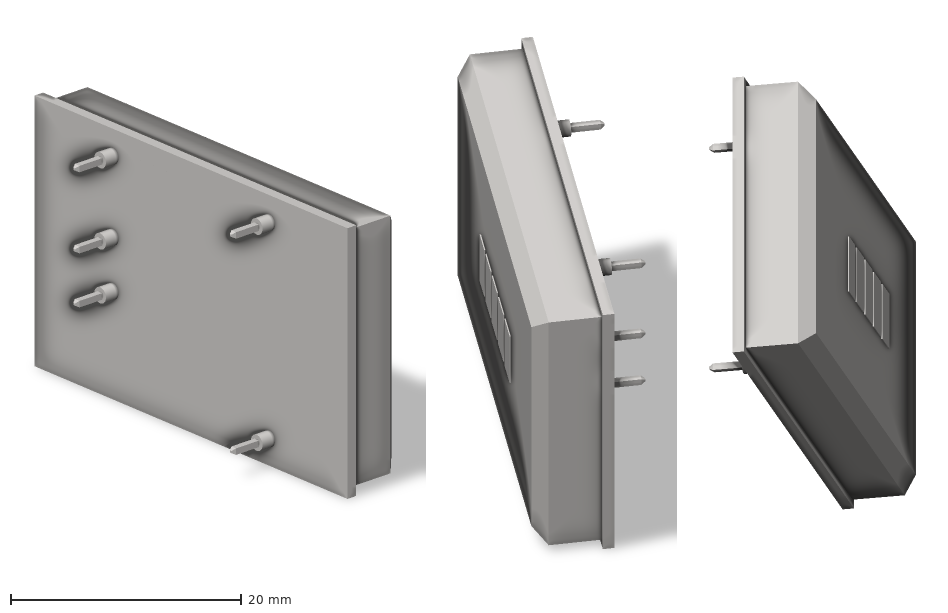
import cadquery as cq

plate_length = 40.6
plate_height = 25.4
plate_thickness = 1.0

case_left_margin = 0.55
case_right_margin = 0.75
case_end_margin = 0.6
case_depth = 5.95
case_chamfer = 1.3
case_length = plate_length - case_left_margin - case_right_margin
case_height = plate_height - 2 * case_end_margin
case_center_x = (case_left_margin - case_right_margin) / 2
case_back = plate_thickness + case_depth

collar_diameter = 1.5
collar_length = 1.45
shank_width = 0.6
pin_length = 4.5
tip_length = 0.35
tip_width = 0.2
pin_grid = plate_length / 16
left_pin_x = -4 * pin_grid
right_pin_x = 4 * pin_grid
pin_positions = [
    (left_pin_x, 4 * pin_grid),
    (left_pin_x, pin_grid),
    (left_pin_x, -pin_grid),
    (right_pin_x, 4 * pin_grid),
    (right_pin_x, -4 * pin_grid),
]

pad_thickness = 0.12
pad_height = 5.08
pad_width = 2.6
last_pad_width = 2.25
pad_pitch = 3.15
pad_count = 5
pad_row_left = -8.3
pad_center_z = -0.25


def y_block(length, depth, height, x, y, z):
    """Box centred on x and z that reaches from y toward +Y by its depth."""
    return cq.Workplane("XY").box(length, depth, height).translate((x, y + depth / 2, z))


def make_plate():
    return y_block(plate_length, plate_thickness, plate_height, 0, 0, 0)


def make_case():
    case = y_block(case_length, case_depth, case_height, case_center_x, plate_thickness, 0)
    return case.faces(">Y").edges().chamfer(case_chamfer)


def make_pin(x, z):
    base = cq.Workplane("XZ").center(x, z)
    collar = base.circle(collar_diameter / 2).extrude(collar_length)
    shank = base.rect(shank_width, shank_width).extrude(pin_length - tip_length)
    tip = (
        base.workplane(offset=pin_length - tip_length)
        .rect(shank_width, shank_width)
        .workplane(offset=tip_length)
        .rect(tip_width, tip_width)
        .loft(ruled=True)
    )
    return collar.union(shank).union(tip)


def make_pad(index):
    width = last_pad_width if index == pad_count - 1 else pad_width
    center_x = pad_row_left + index * pad_pitch + width / 2
    return y_block(width, pad_thickness, pad_height, center_x, case_back, pad_center_z)


result = make_plate().union(make_case())
for pin_x, pin_z in pin_positions:
    result = result.union(make_pin(pin_x, pin_z))
for pad_index in range(pad_count):
    result = result.union(make_pad(pad_index))